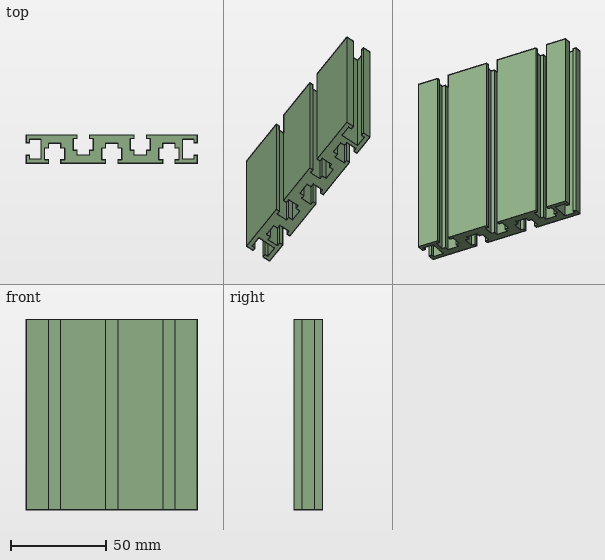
import cadquery as cq

WIDTH = 90.0
THICKNESS = 15.0
LENGTH = 100.0

PITCH = 30.0
MOUTH = 6.4
LIP = 2.0
CAVITY_WIDTH = 10.4
CAVITY_DEPTH = 6.0
SLOT_DEPTH = 10.5

EDGE_LIP = 1.8
EDGE_CAVITY_WIDTH = 10.2
EDGE_SLOT_DEPTH = 7.8

FRONT_SLOTS = [-PITCH, 0, PITCH]
BACK_SLOTS = [-PITCH / 2, PITCH / 2]


def box(size_x, size_y, center_x, center_y):
    """Full-length rectangular bar standing on Z = 0."""
    return (
        cq.Workplane("XY")
        .center(center_x, center_y)
        .rect(size_x, size_y)
        .extrude(LENGTH)
    )


def face_slot(x, side):
    """T-slot with a relief groove in its floor; side is -1 for the -Y face, +1 for the +Y face."""
    face_y = side * THICKNESS / 2
    groove = box(MOUTH, SLOT_DEPTH, x, face_y - side * SLOT_DEPTH / 2)
    cavity = box(CAVITY_WIDTH, CAVITY_DEPTH, x, face_y - side * (LIP + CAVITY_DEPTH / 2))
    return groove.union(cavity)


def edge_slot(side):
    """Plain T-slot in a narrow edge; side is -1 for the -X edge, +1 for the +X edge."""
    edge_x = side * WIDTH / 2
    cavity_depth = EDGE_SLOT_DEPTH - EDGE_LIP
    mouth = box(EDGE_SLOT_DEPTH, MOUTH, edge_x - side * EDGE_SLOT_DEPTH / 2, 0)
    cavity = box(cavity_depth, EDGE_CAVITY_WIDTH, edge_x - side * (EDGE_LIP + cavity_depth / 2), 0)
    return mouth.union(cavity)


result = box(WIDTH, THICKNESS, 0, 0)

for slot_x in FRONT_SLOTS:
    result = result.cut(face_slot(slot_x, -1))

for slot_x in BACK_SLOTS:
    result = result.cut(face_slot(slot_x, 1))

for edge in (-1, 1):
    result = result.cut(edge_slot(edge))